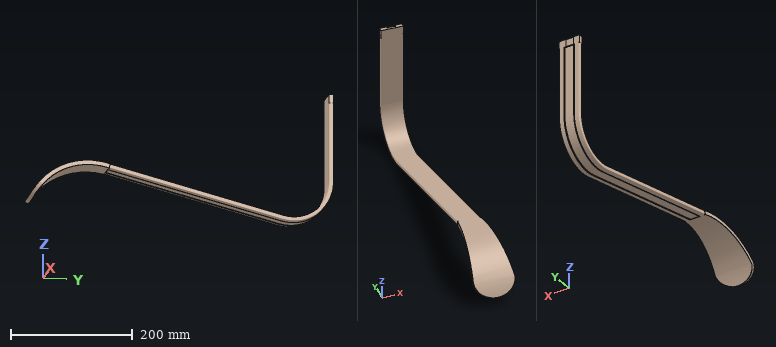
import cadquery as cq
import math

strip_width = 40.0
thickness = 8.0
edge_radius = 1.2
square_length = 15.0

groove_mouth = 20.0
groove_floor = 17.0
groove_depth = 0.5

slot_width = 14.5
slot_thickness = 1.6
slot_depth = 15.0
slot_setback = 2.4

height = 220.0
length = 515.0
bend_radius = 70.0
blade_radius = 122.5
slope = 13.4
arm_end = 376.0

blade_width = 72.37
tip_length = 31.0

CLEARANCE = 200.0
LONG_EDGE_RATIO = 1.5
ARC_EXCESS = 10.0


def polar(centre, radius, degrees):
    """Point at an angle measured from +Z, positive toward -Y."""
    angle = math.radians(degrees)
    return (centre[0] - radius * math.sin(angle), centre[1] + radius * math.cos(angle))


bend_centre = (-bend_radius, bend_radius)
bend_start_angle = -90
bend_end_angle = -180 - slope
bend_middle_angle = (bend_start_angle + bend_end_angle) / 2
arm_low = polar(bend_centre, bend_radius - thickness, bend_end_angle)
arm_rise = (arm_end + arm_low[0]) * math.tan(math.radians(slope))
arm_high = (-arm_end, arm_low[1] + arm_rise)
blade_centre = polar(arm_high, blade_radius, 180 - slope)
bend_underside_end = polar(bend_centre, bend_radius, bend_end_angle)
blade_underside_start = polar(blade_centre, blade_radius - thickness, -slope)
tip_angle = math.degrees(math.asin((length + blade_centre[0]) / blade_radius))
tip_point = polar(blade_centre, blade_radius, tip_angle)
tip_start_angle = tip_angle - math.degrees(math.asin(tip_length / blade_radius))
tip_start = polar(blade_centre, blade_radius, tip_start_angle)


def bent_bar():
    """Bent bar of constant section, from the upper end down to the start of the blade."""
    inner_bend_radius = bend_radius - thickness
    return (
        cq.Workplane("YZ", origin=(-strip_width / 2, 0, 0))
        .moveTo(-thickness, height)
        .lineTo(-thickness, bend_radius)
        .threePointArc(polar(bend_centre, inner_bend_radius, bend_middle_angle), arm_low)
        .lineTo(*arm_high)
        .lineTo(*blade_underside_start)
        .lineTo(*bend_underside_end)
        .threePointArc(polar(bend_centre, bend_radius, bend_middle_angle), (0, bend_radius))
        .lineTo(0, height)
        .close()
        .extrude(strip_width)
    )


def make_groove():
    """Flat-bottomed groove with flared walls, as a closed section swept along the outer face."""
    groove_top = height - square_length
    path = (
        cq.Workplane("YZ")
        .moveTo(0, groove_top)
        .lineTo(0, bend_radius)
        .threePointArc(polar(bend_centre, bend_radius, bend_middle_angle), bend_underside_end)
        .lineTo(*blade_underside_start)
    )
    section = cq.Workplane("XY", origin=(0, 0, groove_top)).polyline(
        [
            (-groove_mouth / 2, 0),
            (groove_mouth / 2, 0),
            (groove_floor / 2, -groove_depth),
            (-groove_floor / 2, -groove_depth),
        ]
    )
    return section.close().sweep(path)


def make_slot():
    """Blind slot running down from the upper end face, parallel to the outer face."""
    return (
        cq.Workplane("XY", origin=(0, -slot_setback, height))
        .rect(slot_width, slot_thickness)
        .extrude(-slot_depth)
    )


def make_strip():
    """Strip with rounded long edges, topped by a short stretch with square edges."""
    bar = bent_bar()
    long_edges = bar.edges().filter(lambda edge: edge.Length() > strip_width * LONG_EDGE_RATIO)
    rounded = long_edges.fillet(edge_radius)
    square_end = cq.Workplane("XY").box(strip_width, thickness, square_length)
    return rounded.union(square_end.translate((0, -thickness / 2, height - square_length / 2)))


def outline_plane(start, end):
    """Plane across the blade with its local y axis running from one side point to the other."""
    run = end[0] - start[0]
    rise = end[1] - start[1]
    return cq.Plane(origin=(0, *start), xDir=(1, 0, 0), normal=(0, -rise, run))


def make_blade():
    """Curved plate, trimmed to a straight taper and a half-elliptical tip."""
    inner_radius = blade_radius - thickness
    end_angle = tip_angle + ARC_EXCESS
    middle_angle = (end_angle - slope) / 2
    plate = (
        cq.Workplane("YZ", origin=(-blade_width / 2, 0, 0))
        .moveTo(*arm_high)
        .threePointArc(
            polar(blade_centre, blade_radius, middle_angle),
            polar(blade_centre, blade_radius, end_angle),
        )
        .lineTo(*polar(blade_centre, inner_radius, end_angle))
        .threePointArc(polar(blade_centre, inner_radius, middle_angle), blade_underside_start)
        .close()
        .extrude(blade_width)
    )

    half_strip = strip_width / 2
    half_blade = blade_width / 2
    taper_length = math.dist(arm_high, tip_start)
    taper = (
        cq.Workplane(outline_plane(arm_high, tip_start))
        .polyline(
            [
                (-half_strip, -thickness),
                (half_strip, -thickness),
                (half_strip, 0),
                (half_blade, taper_length),
                (half_blade, taper_length + CLEARANCE),
                (-half_blade, taper_length + CLEARANCE),
                (-half_blade, taper_length),
                (-half_strip, 0),
            ]
        )
        .close()
        .extrude(CLEARANCE, both=True)
    )

    tangent = math.radians(tip_angle)
    tip_base = (
        tip_point[0] + tip_length * math.cos(tangent),
        tip_point[1] + tip_length * math.sin(tangent),
    )
    tip = (
        cq.Workplane(outline_plane(tip_base, tip_point))
        .moveTo(half_blade, 0)
        .lineTo(half_blade, -CLEARANCE)
        .lineTo(-half_blade, -CLEARANCE)
        .lineTo(-half_blade, 0)
        .ellipseArc(half_blade, tip_length, 0, 180, sense=-1, startAtCurrent=True)
        .close()
        .extrude(CLEARANCE, both=True)
    )
    return plate.intersect(taper).intersect(tip)


result = make_strip().union(make_blade()).cut(make_groove()).cut(make_slot())